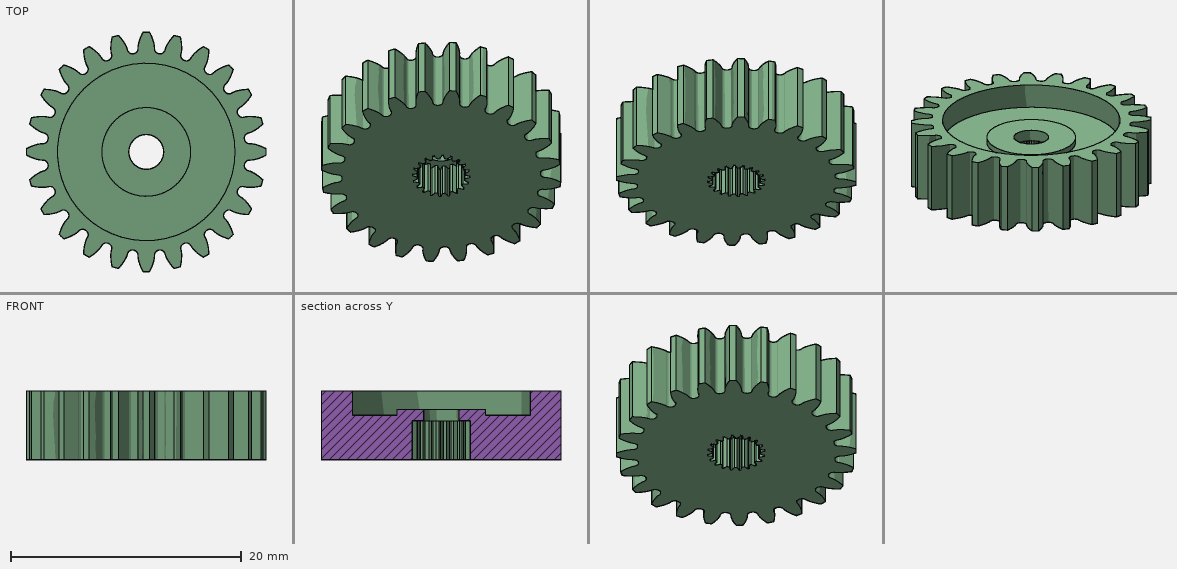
import cadquery as cq
import math

module = 0.8
tooth_count = 24
pressure_angle = math.radians(20)
pitch_radius = module * tooth_count / 2
tip_radius = pitch_radius + module
dedendum_factor = 1.25
root_radius = pitch_radius - dedendum_factor * module
base_radius = pitch_radius * math.cos(pressure_angle)
root_fillet = (base_radius**2 - root_radius**2) / (2 * root_radius)
flank_steps = 6

gear_height = 6.0
pocket_diameter = 15.4
pocket_depth = 2.1
boss_diameter = 7.7
boss_height = 0.5

bore_diameter = 3.0
bore_depth = 1.0
spline_count = 20
spline_root_radius = 2.5
spline_crest_radius = 2.1
spline_root_half_angle = math.radians(1.5)
spline_crest_half_angle = math.radians(3.1)

floor_z = gear_height - pocket_depth
boss_top_z = floor_z + boss_height
socket_depth = boss_top_z - bore_depth


def polar(radius, angle):
    return (radius * math.cos(angle), radius * math.sin(angle))


def involute(angle):
    return math.tan(angle) - angle


def half_tooth_angle(radius):
    """Half the angle a tooth spans at a radius on or above the base circle."""
    at_pitch = math.pi / (2 * tooth_count)
    return at_pitch + involute(pressure_angle) - involute(math.acos(base_radius / radius))


def flank_points(center, side):
    """Involute flank from base circle to tip; side is -1 or +1 around the tooth."""
    step = (tip_radius - base_radius) / flank_steps
    radii = [base_radius + step * i for i in range(flank_steps)] + [tip_radius]
    return [polar(r, center + side * half_tooth_angle(r)) for r in radii]


def fillet_points(center, side):
    """Middle and root-circle end of the fillet below the involute foot of a flank."""
    center_radius = root_radius + root_fillet
    foot_angle = center + side * half_tooth_angle(base_radius)
    fillet_angle = foot_angle + side * math.asin(root_fillet / center_radius)
    flank_end = polar(base_radius, foot_angle)
    root_end = polar(root_radius, fillet_angle)
    fillet_center = cq.Vector(*polar(center_radius, fillet_angle))
    chord_middle = (cq.Vector(*flank_end) + cq.Vector(*root_end)) * 0.5
    middle = fillet_center + (chord_middle - fillet_center).normalized() * root_fillet
    return (middle.x, middle.y), root_end


def make_gear_blank():
    pitch_angle = 2 * math.pi / tooth_count
    first_root = fillet_points(0, -1)[1]
    outline = cq.Workplane("XY").moveTo(*first_root)
    for tooth in range(tooth_count):
        center = tooth * pitch_angle
        rising_flank = flank_points(center, -1)
        falling_flank = flank_points(center, 1)[::-1]
        fillet_middle, _ = fillet_points(center, -1)
        outline = outline.threePointArc(fillet_middle, rising_flank[0])
        outline = outline.spline(rising_flank[1:], includeCurrent=True)
        outline = outline.threePointArc(polar(tip_radius, center), falling_flank[0])
        outline = outline.spline(falling_flank[1:], includeCurrent=True)
        fillet_middle, root_end = fillet_points(center, 1)
        outline = outline.threePointArc(fillet_middle, root_end)
        next_root = fillet_points(center + pitch_angle, -1)[1]
        outline = outline.threePointArc(polar(root_radius, center + pitch_angle / 2), next_root)
    return outline.close().extrude(gear_height)


def make_pocket():
    """Round recess in the top face, leaving a low boss standing at its center."""
    recess = cq.Workplane("XY", origin=(0, 0, floor_z)).circle(pocket_diameter / 2).extrude(pocket_depth)
    boss = cq.Workplane("XY", origin=(0, 0, floor_z)).circle(boss_diameter / 2).extrude(boss_height)
    return recess.cut(boss)


def make_bore():
    return cq.Workplane("XY").circle(bore_diameter / 2).extrude(gear_height)


def make_spline_socket():
    """Toothed socket from the bottom face, with a root groove on the X axis."""
    pitch_angle = 2 * math.pi / spline_count
    outline = cq.Workplane("XY").moveTo(*polar(spline_root_radius, -spline_root_half_angle))
    for groove in range(spline_count):
        root_angle = groove * pitch_angle
        crest_angle = root_angle + pitch_angle / 2
        next_root_angle = root_angle + pitch_angle
        outline = outline.threePointArc(
            polar(spline_root_radius, root_angle),
            polar(spline_root_radius, root_angle + spline_root_half_angle),
        )
        outline = outline.lineTo(*polar(spline_crest_radius, crest_angle - spline_crest_half_angle))
        outline = outline.threePointArc(
            polar(spline_crest_radius, crest_angle),
            polar(spline_crest_radius, crest_angle + spline_crest_half_angle),
        )
        outline = outline.lineTo(*polar(spline_root_radius, next_root_angle - spline_root_half_angle))
    return outline.close().extrude(socket_depth)


result = make_gear_blank().cut(make_pocket()).cut(make_bore()).cut(make_spline_socket())